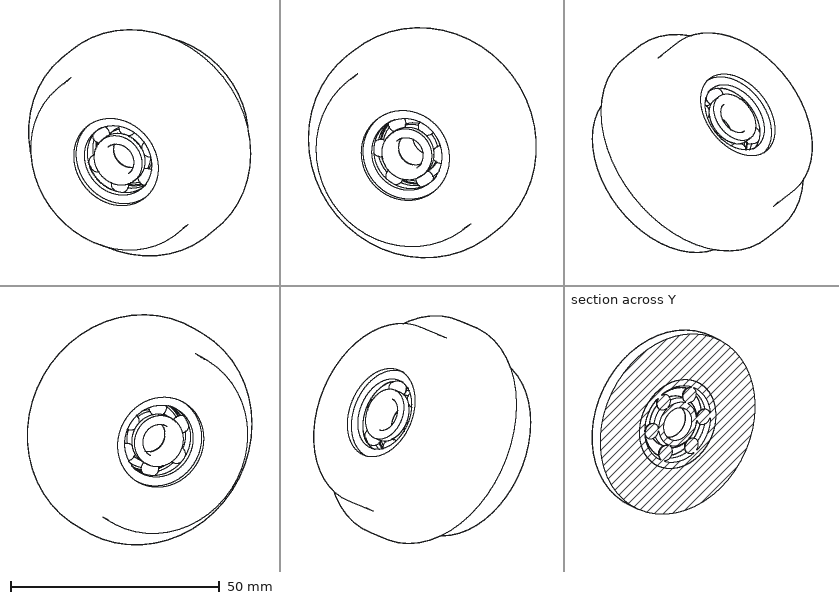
import cadquery as cq

wheel_width = 29.0
tread_diameter = 45.0
flange_diameter = 55.0
flange_width = 8.0
edge_radius = 1.0
shoulder_bore_diameter = 17.0

bearing_outer_diameter = 22.0
bearing_bore_diameter = 8.0
bearing_width = 7.0
bearing_recess = 1.25
inner_ring_diameter = 12.48
outer_ring_inner_diameter = 17.52
ring_edge_radius = 0.3
ball_diameter = 4.2
ball_embedding = 0.01
ball_count = 6
front_ball_angle = 22.5
rear_ball_angle = 2.5

spacer_diameter = 16.0
spacer_bore_diameter = 8.5

ball_circle_radius = (inner_ring_diameter + outer_ring_inner_diameter) / 4
race_groove_diameter = ball_diameter - 2 * ball_embedding
pocket_depth = bearing_recess + bearing_width
spacer_length = wheel_width - 2 * pocket_depth
bearing_offset = (spacer_length + bearing_width) / 2


def cylinder(diameter, length):
    """Solid cylinder along Y, centred on the origin."""
    return cq.Workplane("XZ").circle(diameter / 2).extrude(length).translate((0, length / 2, 0))


def tube(outer_diameter, inner_diameter, length):
    """Hollow cylinder along Y, centred on the origin."""
    return cylinder(outer_diameter, length).cut(cylinder(inner_diameter, length))


def make_wheel():
    """Tread with a central flange, rounded at every outer edge and flange root, bored for the bearings."""
    body = cylinder(tread_diameter, wheel_width).union(cylinder(flange_diameter, flange_width))
    body = body.edges("%CIRCLE").fillet(edge_radius)
    bearing_pockets = cylinder(bearing_outer_diameter, wheel_width).cut(
        cylinder(bearing_outer_diameter, spacer_length)
    )
    return body.cut(cylinder(shoulder_bore_diameter, wheel_width)).cut(bearing_pockets)


def make_race_groove():
    """Round ring, coaxial with Y, that hollows the ball track into both bearing rings."""
    section = cq.Workplane("XY").center(ball_circle_radius, 0).circle(race_groove_diameter / 2)
    return section.revolve(360, (-ball_circle_radius, 0), (-ball_circle_radius, 1))


def make_bearing(center_y, first_ball_angle):
    """Grooved inner and outer rings, rounded at bore and rim, joined by the balls between them."""
    outer_ring = tube(bearing_outer_diameter, outer_ring_inner_diameter, bearing_width)
    outer_ring = outer_ring.edges(cq.selectors.RadiusNthSelector(-1)).fillet(ring_edge_radius)
    inner_ring = tube(inner_ring_diameter, bearing_bore_diameter, bearing_width)
    inner_ring = inner_ring.edges(cq.selectors.RadiusNthSelector(0)).fillet(ring_edge_radius)
    bearing = outer_ring.union(inner_ring).cut(make_race_groove())
    ball = cq.Workplane("XY").sphere(ball_diameter / 2).translate((ball_circle_radius, 0, 0))
    for index in range(ball_count):
        angle = first_ball_angle + index * 360 / ball_count
        bearing = bearing.union(ball.rotate((0, 0, 0), (0, 1, 0), -angle))
    return bearing.translate((0, center_y, 0))


def make_spacer():
    """Plain tube that holds the inner rings apart."""
    return tube(spacer_diameter, spacer_bore_diameter, spacer_length)


wheel = make_wheel()
front_bearing = make_bearing(-bearing_offset, front_ball_angle)
rear_bearing = make_bearing(bearing_offset, rear_ball_angle)
spacer = make_spacer()

result = cq.Compound.makeCompound(
    [wheel.val(), front_bearing.val(), rear_bearing.val(), spacer.val()]
)